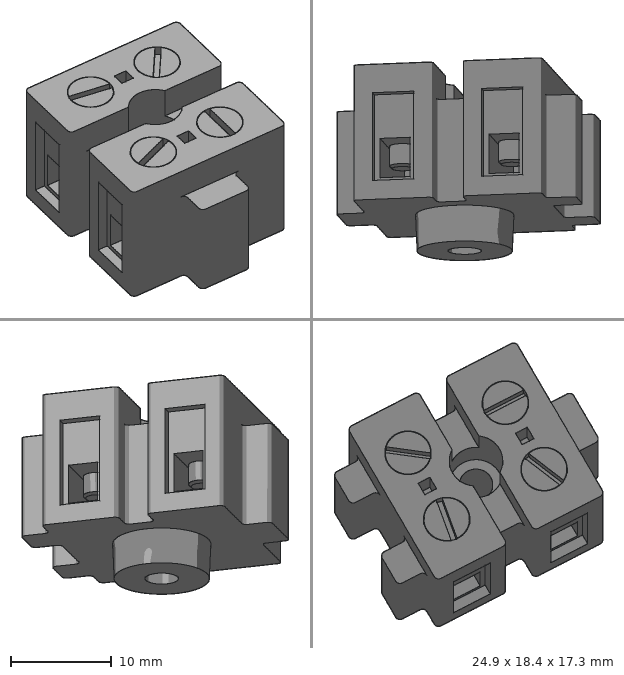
import cadquery as cq

block_length = 18.4
block_height = 13.7
block_pitch = 11.0
block_gap = 3.01
block_width = block_pitch - block_gap
step_height = 10.38
web_length = 13.45
edge_radius = 0.5

housing_side = (block_pitch + block_width) / 2
left_tab_end = 12.5
right_tab_end = 12.4
left_tab_width = 3.75
left_tab_offset = (web_length - left_tab_width) / 2
right_tab_width = 5.88

foot_height = 3.6
foot_top_diameter = 9.75
foot_bottom_diameter = 9.45
mount_hole_diameter = 3.3
counterbore_diameter = 5.3
counterbore_floor = block_height / 2

recess_width = 4.15
recess_bottom = 1.92
recess_top = 10.8
recess_depth = 1.07
channel_width = 3.05
channel_bottom = 2.4
channel_top = 6.37

screw_offset = 3.996
head_diameter = 4.5
head_hole_diameter = 4.6
head_depth = 1.0
slot_width = 0.62
slot_angles = {(-1, 1): -37, (1, 1): 0, (-1, -1): 80.5, (1, -1): -68}
shank_diameter = 2.6
shank_tip = 4.1
tip_chamfer = 0.25

test_hole_x = 1.32
test_hole_y = 1.37

block_centers = [-block_pitch / 2, block_pitch / 2]


def box(size_x, size_y, bottom, top, x=0.0, y=0.0):
    """Box centred on (x, y) between two heights."""
    blank = cq.Workplane("XY").box(size_x, size_y, top - bottom, centered=(True, True, False))
    return blank.translate((x, y, bottom))


def cylinder(diameter, bottom, top, x=0.0, y=0.0):
    """Upright cylinder centred on (x, y) between two heights."""
    return cq.Workplane("XY", origin=(x, y, bottom)).circle(diameter / 2).extrude(top - bottom)


def side_tab(direction, end, width, y):
    """Tab reaching from the centre of a block out to the given distance from the middle."""
    root = block_pitch / 2
    return box(end - root, width, 0, step_height, direction * (root + end) / 2, y)


def make_housing():
    """Lower body with rounded outside and inside corners, topped by the two blocks."""
    lower = box(block_pitch, web_length, 0, step_height)
    for x in block_centers:
        lower = lower.union(box(block_width, block_length, 0, step_height, x))
    for y in (-left_tab_offset, left_tab_offset):
        lower = lower.union(side_tab(-1, left_tab_end, left_tab_width, y))
    lower = lower.union(side_tab(1, right_tab_end, right_tab_width, 0))
    housing = lower.edges("|Z").fillet(edge_radius)
    for x in block_centers:
        upper = box(block_width, block_length, step_height, block_height, x)
        housing = housing.union(upper.edges("|Z").fillet(edge_radius))
    return housing


def make_foot():
    """Round foot that narrows slightly downwards."""
    return (
        cq.Workplane("XY")
        .circle(foot_top_diameter / 2)
        .workplane(offset=-foot_height)
        .circle(foot_bottom_diameter / 2)
        .loft(combine=True)
    )


def cut_mounting_hole(body):
    """Through hole with a counterbore that bites into both blocks and the web."""
    body = body.cut(cylinder(mount_hole_diameter, -foot_height, block_height))
    return body.cut(cylinder(counterbore_diameter, counterbore_floor, block_height))


def cut_wire_entry(body, x):
    """Through channel with a wider recess at each end of the block."""
    body = body.cut(box(channel_width, block_length, channel_bottom, channel_top, x))
    for side in (-1, 1):
        y = side * (block_length - recess_depth) / 2
        body = body.cut(box(recess_width, recess_depth, recess_bottom, recess_top, x, y))
    return body


def cut_test_hole(body, x):
    """Square blind hole reaching down to the level of the recess tops."""
    return body.cut(box(test_hole_x, test_hole_y, recess_top, block_height, x))


def add_screw(body, x, y, slot_angle):
    """Slotted head flush with the block top, and a chamfered shank hanging in the channel."""
    head_floor = block_height - head_depth
    slot = box(head_diameter, slot_width, head_floor, block_height)
    slot = slot.rotate((0, 0, 0), (0, 0, 1), slot_angle).translate((x, y, 0))
    head = cylinder(head_diameter, head_floor, block_height, x, y).cut(slot)
    shank = cylinder(shank_diameter, shank_tip, head_floor, x, y).faces("<Z").chamfer(tip_chamfer)
    body = body.cut(cylinder(head_hole_diameter, head_floor, block_height, x, y))
    return body.union(head).union(shank)


result = make_housing().union(make_foot())
result = cut_mounting_hole(result)
for center in block_centers:
    result = cut_wire_entry(result, center)
    result = cut_test_hole(result, center)
for (side_x, side_y), angle in slot_angles.items():
    result = add_screw(result, side_x * block_pitch / 2, side_y * screw_offset, angle)